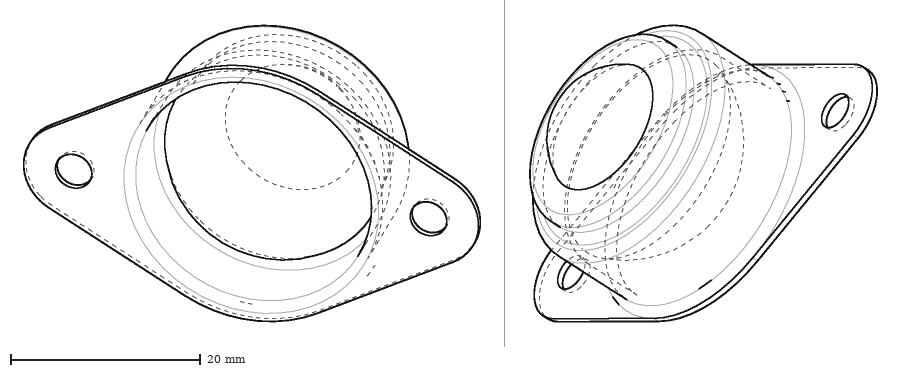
import cadquery as cq
import math

flange_length = 49.95
flange_width = 30
flange_thickness = 0.75
ear_radius = 5.5
hole_diameter = 4
hole_offset = flange_length / 2 - ear_radius

body_radius = 28 / 2
bore_radius = 26 / 2
body_top = 12.8
neck_radius = 22.7 / 2
housing_top = 15.95
edge_fillet = 1
bore_depth = 9
bore_corner_fillet = 0.9

cap_radius = 12.6
cap_recess = 0.05
cap_center = cap_radius + cap_recess
crown_radius = 8
overall_height = 20.95
crown_center = overall_height - crown_radius


def make_flange():
    """Central disc and two ear discs joined by their common tangents."""
    disc_radius = flange_width / 2
    sine = (disc_radius - ear_radius) / hole_offset
    cosine = (1 - sine**2) ** 0.5
    disc_x, disc_z = disc_radius * sine, disc_radius * cosine
    ear_x, ear_z = hole_offset + ear_radius * sine, ear_radius * cosine
    return (
        cq.Workplane("XZ")
        .moveTo(disc_x, disc_z)
        .lineTo(ear_x, ear_z)
        .threePointArc((flange_length / 2, 0), (ear_x, -ear_z))
        .lineTo(disc_x, -disc_z)
        .threePointArc((0, -disc_radius), (-disc_x, -disc_z))
        .lineTo(-ear_x, -ear_z)
        .threePointArc((-flange_length / 2, 0), (-ear_x, ear_z))
        .lineTo(-disc_x, disc_z)
        .threePointArc((0, disc_radius), (disc_x, disc_z))
        .close()
        .extrude(-flange_thickness)
        .pushPoints([(-hole_offset, 0), (hole_offset, 0)])
        .circle(hole_diameter / 2)
        .cutThruAll()
    )


def make_housing():
    """Half profile of the housing, with concave flares at both step roots, revolved about Y."""
    r = edge_fillet
    bend = r * (1 - 0.5**0.5)
    return (
        cq.Workplane("XY")
        .moveTo(0, 0)
        .lineTo(body_radius + r, 0)
        .lineTo(body_radius + r, flange_thickness)
        .threePointArc((body_radius + bend, flange_thickness + bend), (body_radius, flange_thickness + r))
        .lineTo(body_radius, body_top - r)
        .threePointArc((body_radius - bend, body_top - bend), (body_radius - r, body_top))
        .lineTo(neck_radius + r, body_top)
        .threePointArc((neck_radius + bend, body_top + bend), (neck_radius, body_top + r))
        .lineTo(neck_radius, housing_top - r)
        .threePointArc((neck_radius - bend, housing_top - bend), (neck_radius - r, housing_top))
        .lineTo(0, housing_top)
        .close()
        .revolve(360, (0, 0, 0), (0, 1, 0))
    )


def make_bore():
    """Ring-shaped cavity around the cap, with a rounded outer corner and a flared mouth."""
    mouth_bend = edge_fillet * (1 - 0.5**0.5)
    floor_bend = bore_corner_fillet * (1 - 0.5**0.5)
    floor_radius = bore_radius - bore_corner_fillet
    rim_angle = math.acos((cap_center - bore_depth) / cap_radius)
    rim_radius = cap_radius * math.sin(rim_angle)
    cap_middle = (
        cap_radius * math.sin(rim_angle / 2),
        cap_center - cap_radius * math.cos(rim_angle / 2),
    )
    return (
        cq.Workplane("XY")
        .moveTo(0, 0)
        .lineTo(bore_radius + edge_fillet, 0)
        .threePointArc((bore_radius + mouth_bend, mouth_bend), (bore_radius, edge_fillet))
        .lineTo(bore_radius, bore_depth - bore_corner_fillet)
        .threePointArc((bore_radius - floor_bend, bore_depth - floor_bend), (floor_radius, bore_depth))
        .lineTo(rim_radius, bore_depth)
        .threePointArc(cap_middle, (0, cap_recess))
        .close()
        .revolve(360, (0, 0, 0), (0, 1, 0))
    )


def make_crown():
    """Upper half of a sphere, its lower part being buried in the neck."""
    return (
        cq.Workplane("XY")
        .moveTo(0, crown_center)
        .lineTo(crown_radius, crown_center)
        .radiusArc((0, overall_height), -crown_radius)
        .close()
        .revolve(360, (0, 0, 0), (0, 1, 0))
    )


result = make_flange().union(make_housing()).cut(make_bore()).union(make_crown())